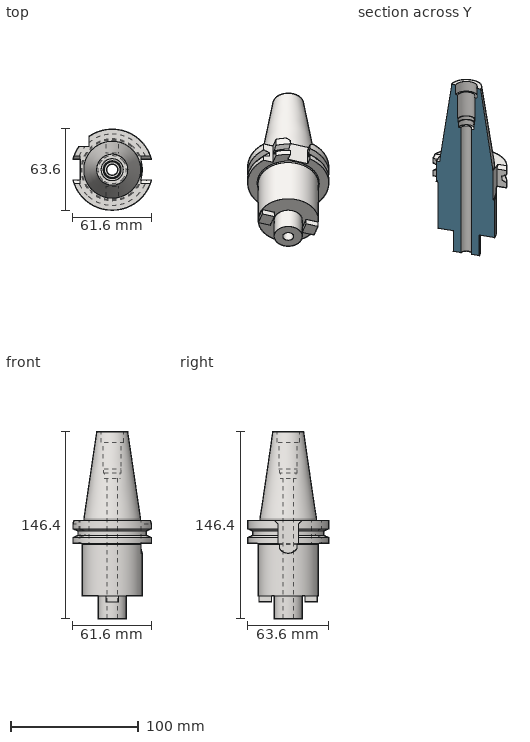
import cadquery as cq

total_height = 146.4
taper_base_z = 78.0
flange_top_z = 77.0
groove_top_z = 70.4
groove_bottom_z = 63.5
groove_bevel_height = 1.8
flange_bottom_z = 59.0
relief_height = 0.9
body_bottom_z = 18.0

taper_tip_radius = 12.2
taper_base_radius = 22.3
flange_radius = 31.8
groove_radius = 28.0
relief_radius = 24.3
body_radius = 23.5
spigot_radius = 11.0

mouth_radius = 8.6
mouth_depth = 8.5
thread_radius = 7.0
thread_end_depth = 29.3
middle_radius = 6.7
middle_end_depth = 32.2
step_radius = 6.1
step_end_depth = 36.6
through_radius = 4.2

slot_half_width = 8.0
slot_chamfer = 2.8
shallow_floor_x = 25.0
deep_floor_x = 22.5
slot_end_z = 51.2

notch_inset = 18.3

key_width = 10.1
key_height = 4.8
key_inner_y = 13.0
key_outer_y = 22.8


def turned_blank():
    """Revolve the taper, grooved flange, body and spigot about Z."""
    profile = [
        (0, 0),
        (spigot_radius, 0),
        (spigot_radius, body_bottom_z),
        (body_radius, body_bottom_z),
        (body_radius, flange_bottom_z - relief_height),
        (relief_radius, flange_bottom_z),
        (flange_radius, flange_bottom_z),
        (flange_radius, groove_bottom_z),
        (groove_radius, groove_bottom_z + groove_bevel_height),
        (groove_radius, groove_top_z - groove_bevel_height),
        (flange_radius, groove_top_z),
        (flange_radius, flange_top_z),
        (taper_base_radius, flange_top_z),
        (taper_base_radius, taper_base_z),
        (taper_tip_radius, total_height),
        (0, total_height),
    ]
    return cq.Workplane("XZ").polyline(profile).close().revolve(360, (0, 0), (0, 1))


def bore(radius, depth):
    """Cylinder going down from the tip of the taper."""
    return cq.Workplane("XY").workplane(offset=total_height).circle(radius).extrude(-depth)


def drive_slot(floor_x):
    """Slot cutter on the +X side, with a round lower end and a chamfered mouth."""
    arc_center_z = slot_end_z + slot_half_width
    mouth_half_width = slot_half_width + slot_chamfer
    return (
        cq.Workplane("YZ")
        .workplane(offset=floor_x)
        .moveTo(-slot_half_width, arc_center_z)
        .threePointArc((0, slot_end_z), (slot_half_width, arc_center_z))
        .lineTo(slot_half_width, flange_top_z - slot_chamfer)
        .lineTo(mouth_half_width, flange_top_z)
        .lineTo(-mouth_half_width, flange_top_z)
        .lineTo(-slot_half_width, flange_top_z - slot_chamfer)
        .close()
        .extrude(flange_radius)
    )


def orientation_notch():
    """Square cutter through the full height of the flange."""
    return (
        cq.Workplane("XY")
        .workplane(offset=flange_bottom_z)
        .moveTo(-notch_inset, notch_inset)
        .rect(-flange_radius, flange_radius, centered=False)
        .extrude(flange_top_z - flange_bottom_z)
    )


def drive_key():
    """Rectangular key below the body on the +Y side."""
    return (
        cq.Workplane("XY")
        .workplane(offset=body_bottom_z)
        .center(0, (key_inner_y + key_outer_y) / 2)
        .rect(key_width, key_outer_y - key_inner_y)
        .extrude(-key_height)
    )


result = turned_blank()

for bore_radius, bore_depth in (
    (mouth_radius, mouth_depth),
    (thread_radius, thread_end_depth),
    (middle_radius, middle_end_depth),
    (step_radius, step_end_depth),
    (through_radius, total_height),
):
    result = result.cut(bore(bore_radius, bore_depth))

result = result.cut(drive_slot(deep_floor_x))
result = result.cut(drive_slot(shallow_floor_x).rotate((0, 0, 0), (0, 0, 1), 180))
result = result.cut(orientation_notch())

for key_angle in (0, 180):
    result = result.union(drive_key().rotate((0, 0, 0), (0, 0, 1), key_angle))